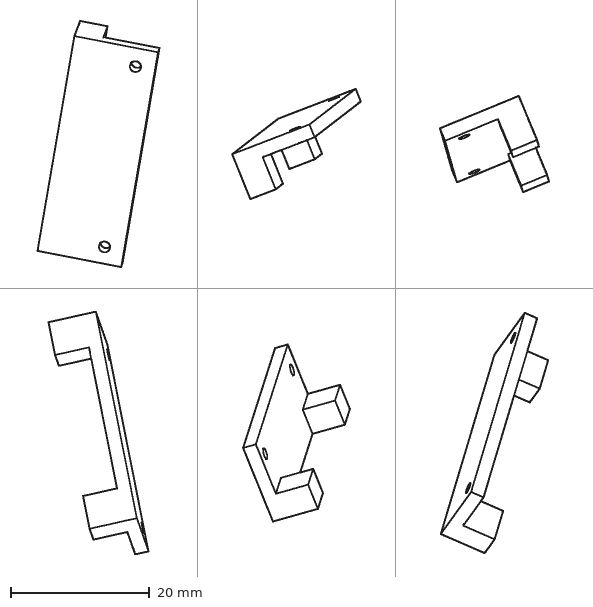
import cadquery as cq

plate_width = 12.3
plate_length = 33.3
plate_thickness = 2.0

foot_width = 4.05
foot_length = 5.3
overall_depth = 7.02

hole_diameter = 1.6
hole_from_left = 9.45
lower_hole_height = 2.55
hole_spacing = 27.95

tilt_x = -12.4
tilt_y = 6
tilt_z = 9


def corner_box(width, depth, height, base_height=0):
    """Box with its left front bottom corner on the Z axis."""
    box = cq.Workplane("XY").box(width, depth, height, centered=False)
    return box.translate((0, 0, base_height))


def screw_hole(height):
    """Cylinder crossing the plate from its front face to its back face."""
    hole = cq.Workplane("XZ").circle(hole_diameter / 2).extrude(-plate_thickness)
    return hole.translate((hole_from_left, 0, height))


body = corner_box(plate_width, plate_thickness, plate_length)

for foot_height in (0, plate_length - foot_length):
    body = body.union(corner_box(foot_width, overall_depth, foot_length, foot_height))

for hole_height in (lower_hole_height, lower_hole_height + hole_spacing):
    body = body.cut(screw_hole(hole_height))

origin = (0, 0, 0)
body = body.rotate(origin, (0, 0, 1), tilt_z)
body = body.rotate(origin, (0, 1, 0), tilt_y)
result = body.rotate(origin, (1, 0, 0), tilt_x)